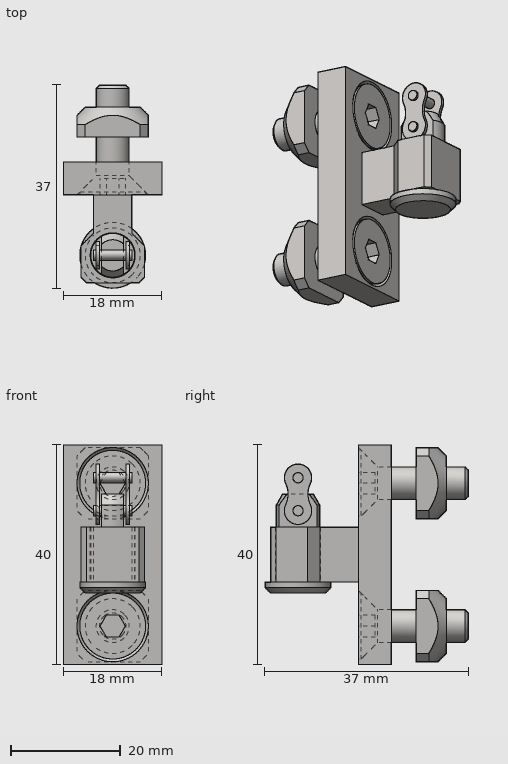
import cadquery as cq
import math

PLATE_WIDTH = 18.0
PLATE_HEIGHT = 40.0
PLATE_THICKNESS = 6.0
ARM_WIDTH = 7.0
ARM_LENGTH = 7.0
EYE_WIDTH = 11.6
EYE_HEIGHT = 10.0
EYE_FRONT = 16.0
EYE_FRONT_CHAMFER = 1.0
PIN_DISTANCE = 11.0
PIN_CLEARANCE = 0.1

SCREW_SPACING = 26.0
SCREW_DIAMETER = 6.0
SCREW_LENGTH = 20.0
SCREW_TIP_CHAMFER = 0.6
HEAD_DIAMETER = 12.0
COUNTERSINK_DIAMETER = 13.0
HEAD_RIM = (COUNTERSINK_DIAMETER - HEAD_DIAMETER) / 2
SOCKET_ACROSS_FLATS = 4.0
SOCKET_DEPTH = 3.0
NUT_WIDTH = 13.0
NUT_THICKNESS = 5.5
NUT_CORNER_CHAMFER = 1.5
NUT_GAP = 4.5

PIN_DIAMETER = 8.0
FLANGE_DIAMETER = 12.0
FLANGE_THICKNESS = 2.0
FLANGE_CHAMFER = 1.0
TONGUE_THICKNESS = 4.0
TONGUE_HEIGHT = 6.0
TONGUE_TAPER_HEIGHT = 2.0
TONGUE_TAPER_ANGLE = 30.0

LINK_PITCH = 6.0
LINK_END_RADIUS = 2.5
LINK_WAIST_RADIUS = 4.5
LINK_INNER_WIDTH = 4.8
LINK_PLATE_THICKNESS = 0.65
RIVET_DIAMETER = 1.85
RIVET_LENGTH = 7.0
RIVET_HEIGHT_ON_TONGUE = 3.0

EYE_TOP = EYE_HEIGHT / 2
EYE_BOTTOM = -EYE_HEIGHT / 2
LOWER_RIVET_Z = EYE_TOP + RIVET_HEIGHT_ON_TONGUE
RIVET_HEIGHTS = (LOWER_RIVET_Z, LOWER_RIVET_Z + LINK_PITCH)
SCREW_HEIGHTS = (-SCREW_SPACING / 2, SCREW_SPACING / 2)


def turned_about_y(profile, z):
    """Revolve a (radius, y) profile about the line through height z, parallel to Y."""
    return (
        cq.Workplane("XY").polyline(profile).close()
        .revolve(360, (0, 0, 0), (0, 1, 0))
        .translate((0, 0, z))
    )


def cylinder_along_x(diameter, length, y, z):
    return (
        cq.Workplane("YZ").center(y, z).circle(diameter / 2)
        .extrude(length / 2, both=True)
    )


def screw_hole(z):
    """Through hole with a 90 degree countersink at the plate front."""
    hole_radius = SCREW_DIAMETER / 2
    sink_radius = COUNTERSINK_DIAMETER / 2
    profile = [
        (0, 0),
        (sink_radius, 0),
        (hole_radius, sink_radius - hole_radius),
        (hole_radius, PLATE_THICKNESS),
        (0, PLATE_THICKNESS),
    ]
    return turned_about_y(profile, z)


def make_bracket():
    plate = cq.Workplane("XY").box(
        PLATE_WIDTH, PLATE_THICKNESS, PLATE_HEIGHT, centered=(True, False, True)
    )
    arm_half = ARM_WIDTH / 2
    eye_half = EYE_WIDTH / 2
    shoulder = eye_half - arm_half
    right_side = [
        (arm_half, 0),
        (arm_half, -ARM_LENGTH),
        (eye_half, -ARM_LENGTH - shoulder),
        (eye_half, -EYE_FRONT + EYE_FRONT_CHAMFER),
        (eye_half - EYE_FRONT_CHAMFER, -EYE_FRONT),
    ]
    left_side = [(-x, y) for x, y in reversed(right_side)]
    arm = (
        cq.Workplane("XY").polyline(right_side + left_side).close()
        .extrude(EYE_HEIGHT / 2, both=True)
    )
    pin_hole = (
        cq.Workplane("XY").center(0, -PIN_DISTANCE)
        .circle(PIN_DIAMETER / 2 + PIN_CLEARANCE)
        .extrude(EYE_HEIGHT / 2, both=True)
    )
    bracket = plate.union(arm).cut(pin_hole)
    for z in SCREW_HEIGHTS:
        bracket = bracket.cut(screw_hole(z))
    return bracket


def make_nut(z):
    """Square nut with chamfered corners and a 45 degree cone on its back."""
    front = PLATE_THICKNESS + NUT_GAP
    back = front + NUT_THICKNESS
    back_radius = NUT_WIDTH / 2 - NUT_CORNER_CHAMFER
    block = (
        cq.Workplane("XY")
        .box(NUT_WIDTH, NUT_THICKNESS, NUT_WIDTH, centered=(True, False, True))
        .edges("|Y").chamfer(NUT_CORNER_CHAMFER)
        .translate((0, front, z))
    )
    cone_profile = [
        (0, front),
        (back_radius + NUT_THICKNESS, front),
        (back_radius, back),
        (0, back),
    ]
    return block.intersect(turned_about_y(cone_profile, z))


def make_screw_with_nut(z):
    """Screw with its head flush with the plate, a short rim and a cone seated in the countersink."""
    shank_radius = SCREW_DIAMETER / 2
    head_radius = HEAD_DIAMETER / 2
    profile = [
        (0, 0),
        (head_radius, 0),
        (head_radius, HEAD_RIM),
        (shank_radius, HEAD_RIM + head_radius - shank_radius),
        (shank_radius, SCREW_LENGTH - SCREW_TIP_CHAMFER),
        (shank_radius - SCREW_TIP_CHAMFER, SCREW_LENGTH),
        (0, SCREW_LENGTH),
    ]
    socket_corner_diameter = SOCKET_ACROSS_FLATS / math.cos(math.radians(30))
    socket = (
        cq.Workplane("XZ", origin=(0, 0, z))
        .polygon(6, socket_corner_diameter)
        .extrude(-SOCKET_DEPTH)
    )
    return turned_about_y(profile, z).union(make_nut(z)).cut(socket)


def make_pin():
    pin_radius = PIN_DIAMETER / 2
    flange_radius = FLANGE_DIAMETER / 2
    flange_bottom = EYE_BOTTOM - FLANGE_THICKNESS
    top = EYE_TOP + TONGUE_HEIGHT
    taper = TONGUE_TAPER_HEIGHT * math.tan(math.radians(TONGUE_TAPER_ANGLE))
    profile = [
        (0, flange_bottom),
        (flange_radius - FLANGE_CHAMFER, flange_bottom),
        (flange_radius, flange_bottom + FLANGE_CHAMFER),
        (flange_radius, EYE_BOTTOM),
        (pin_radius, EYE_BOTTOM),
        (pin_radius, top - TONGUE_TAPER_HEIGHT),
        (pin_radius - taper, top),
        (0, top),
    ]
    pin = (
        cq.Workplane("XZ").polyline(profile).close()
        .revolve(360, (0, 0, 0), (0, 1, 0))
        .translate((0, -PIN_DISTANCE, 0))
    )
    for side in (-1, 1):
        flat_cut = cq.Workplane("XY").box(
            PIN_DIAMETER, PIN_DIAMETER, TONGUE_HEIGHT, centered=(True, True, False)
        )
        offset = side * (TONGUE_THICKNESS + PIN_DIAMETER) / 2
        pin = pin.cut(flat_cut.translate((offset, -PIN_DISTANCE, EYE_TOP)))
    return pin.cut(cylinder_along_x(RIVET_DIAMETER, PIN_DIAMETER, -PIN_DISTANCE, LOWER_RIVET_Z))


def make_link_plate(inner_x):
    """Figure-of-eight plate whose waist arcs run tangent into its round ends."""
    half_pitch = LINK_PITCH / 2
    center_distance = LINK_END_RADIUS + LINK_WAIST_RADIUS
    waist_center = math.sqrt(center_distance ** 2 - half_pitch ** 2)
    waist_half = waist_center - LINK_WAIST_RADIUS
    tangent_y = waist_center * LINK_END_RADIUS / center_distance
    tangent_z = half_pitch - half_pitch * LINK_END_RADIUS / center_distance
    end_z = half_pitch + LINK_END_RADIUS
    middle_z = LOWER_RIVET_Z + half_pitch
    return (
        cq.Workplane("YZ", origin=(inner_x, -PIN_DISTANCE, middle_z))
        .moveTo(tangent_y, tangent_z)
        .threePointArc((0, end_z), (-tangent_y, tangent_z))
        .threePointArc((-waist_half, 0), (-tangent_y, -tangent_z))
        .threePointArc((0, -end_z), (tangent_y, -tangent_z))
        .threePointArc((waist_half, 0), (tangent_y, tangent_z))
        .close()
        .extrude(LINK_PLATE_THICKNESS)
    )


def make_chain_link():
    inner_half = LINK_INNER_WIDTH / 2
    link = make_link_plate(inner_half)
    link = link.union(make_link_plate(-inner_half - LINK_PLATE_THICKNESS))
    for z in RIVET_HEIGHTS:
        link = link.union(cylinder_along_x(RIVET_DIAMETER, RIVET_LENGTH, -PIN_DISTANCE, z))
    return link


bracket = make_bracket()
screws = [make_screw_with_nut(z) for z in SCREW_HEIGHTS]
pin = make_pin()
chain_link = make_chain_link()

result = cq.Compound.makeCompound(
    [bracket.val(), *[screw.val() for screw in screws], pin.val(), chain_link.val()]
)